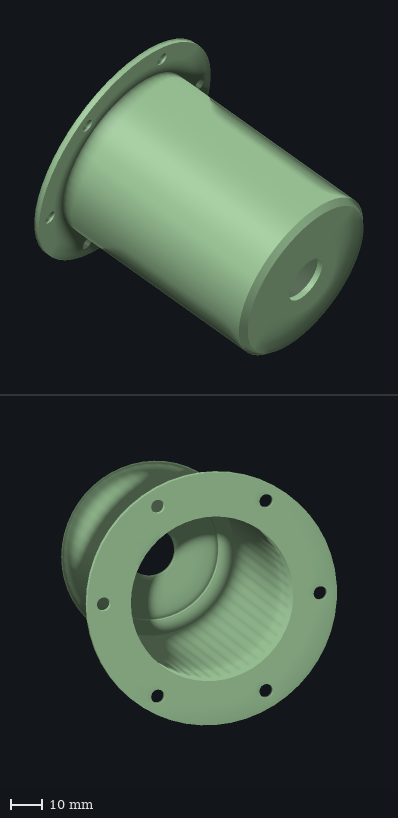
import cadquery as cq

total_length = 80.0
flange_diameter = 83.0
flange_thickness = 2.0

tube_diameter = 60.0
bore_diameter = 54.0
end_wall = 2.0
end_hole_diameter = 16.0

bevel = 2.0

step_diameter = 44.0
step_length = 2.0

bolt_hole_count = 6
bolt_hole_diameter = 4.5
bolt_circle_diameter = 72.0


def cylinder(diameter, start, end):
    """Solid cylinder on the X axis between two X positions."""
    return cq.Workplane("YZ", origin=(start, 0, 0)).circle(diameter / 2).extrude(end - start)


def make_outer_body():
    """Flange and tube, with the bevelled closed end, revolved about X."""
    flange_radius = flange_diameter / 2
    tube_radius = tube_diameter / 2
    half_section = (
        cq.Workplane("XY")
        .polyline([
            (0, 0),
            (0, flange_radius),
            (flange_thickness, flange_radius),
            (flange_thickness, tube_radius),
            (total_length - bevel, tube_radius),
            (total_length, tube_radius - bevel),
            (total_length, 0),
        ])
        .close()
    )
    return half_section.revolve(360, (0, 0, 0), (1, 0, 0))


def cut_bore(body):
    """Bore open at the flange, stepped down at the end wall, with a small hole through the wall."""
    wall_face = total_length - end_wall
    step_face = wall_face - step_length
    body = body.cut(cylinder(bore_diameter, 0, step_face))
    body = body.cut(cylinder(step_diameter, step_face, wall_face))
    return body.cut(cylinder(end_hole_diameter, wall_face, total_length))


def cut_bolt_holes(body):
    """Ring of holes through the flange, the first one on the Y axis."""
    holes = (
        cq.Workplane("YZ")
        .polarArray(bolt_circle_diameter / 2, 0, 360, bolt_hole_count)
        .circle(bolt_hole_diameter / 2)
        .extrude(flange_thickness)
    )
    return body.cut(holes)


result = cut_bolt_holes(cut_bore(make_outer_body()))